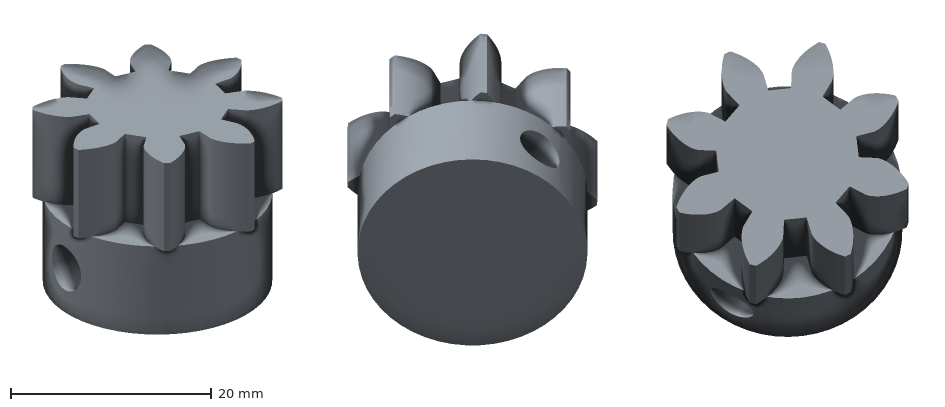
import cadquery as cq
import math

hub_diameter = 22.95
hub_height = 10.0
cross_hole_diameter = 4.9
cross_hole_height = hub_height / 2

tooth_count = 8
module = 2.5
pressure_angle = math.radians(27.0)
clearance = 0.375
flank_thinning = math.radians(0.1)
flank_facets = 21
gear_height = 9.99

pitch_radius = module * tooth_count / 2
base_radius = pitch_radius * math.cos(pressure_angle)
tip_radius = pitch_radius + module
root_radius = pitch_radius - module - clearance

tooth_pitch = 2 * math.pi / tooth_count
pitch_roll = math.tan(pressure_angle)
tip_roll = math.sqrt((tip_radius / base_radius) ** 2 - 1)
base_half_angle = tooth_pitch / 4 + pitch_roll - pressure_angle - flank_thinning
first_tooth_angle = base_half_angle


def polar(radius, angle):
    return (radius * math.cos(angle), radius * math.sin(angle))


def flank():
    """Radius and half angle of the tooth along one faceted flank, from root to tip."""
    points = [(root_radius, base_half_angle)]
    for step in range(flank_facets + 1):
        roll = tip_roll * step / flank_facets
        radius = base_radius * math.sqrt(1 + roll**2)
        points.append((radius, base_half_angle - (roll - math.atan(roll))))
    return points


def gear_outline():
    """Closed outline of all teeth, with flat tips and flat gap floors."""
    outline = []
    for tooth in range(tooth_count):
        centre = first_tooth_angle + tooth * tooth_pitch
        outline += [polar(radius, centre - half) for radius, half in flank()]
        outline += [polar(radius, centre + half) for radius, half in reversed(flank())]
    return outline


def make_hub():
    cylinder = cq.Workplane("XY").circle(hub_diameter / 2).extrude(hub_height)
    cross_hole = (
        cq.Workplane("XZ")
        .center(0, cross_hole_height)
        .circle(cross_hole_diameter / 2)
        .extrude(hub_diameter / 2, both=True)
    )
    return cylinder.cut(cross_hole)


def make_gear():
    hub_top = cq.Workplane("XY").workplane(offset=hub_height)
    return hub_top.polyline(gear_outline()).close().extrude(gear_height)


hub = make_hub()
gear = make_gear()

result = cq.Compound.makeCompound([hub.val(), gear.val()])